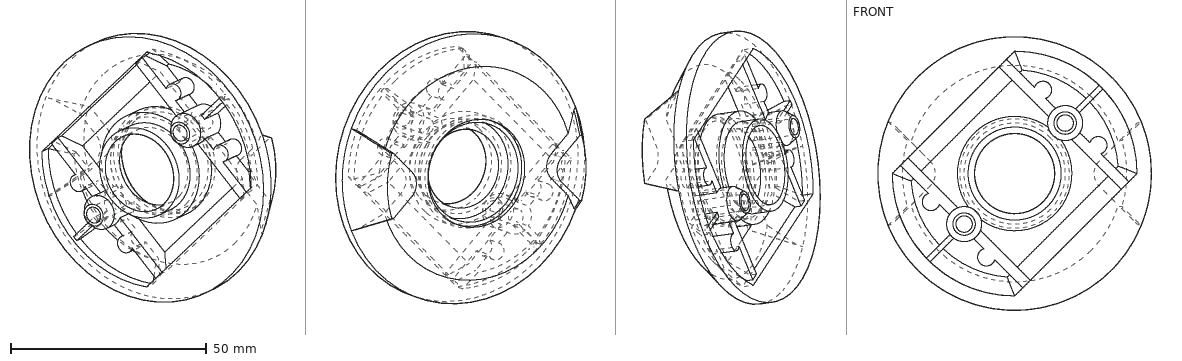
import cadquery as cq
import math


cap_radius = 35.0
rim_height = 3.7
cap_height = 10.8
crown_radius = 27.7

mouth_radius = 31.3
mouth_half_width = mouth_radius / math.sqrt(2)
wall_height = 3.15
recess_depth = 7.9
recess_draft = recess_depth - wall_height
recess_angle = 45.0

web_top = -1.3
bar_inner = 16.45
bar_outer = 19.2
bump_radius = 2.25
bump_offset = 20.2
bump_spacing = 20.0
rib_thickness = 1.3

pin_offset = 18.3
pin_radius = 4.5
pin_shoulder = 1.95
pin_tip = 4.75
pin_tip_radius = 2.9
pin_hole_radius = 2.1

hub_radius = 14.6
hub_top = -1.9
collar_radius = 11.9
collar_top = 3.5
bore_radius = 10.2
hub_wall = collar_radius - bore_radius
seat_radius = hub_radius - hub_wall
seat_shoulder = hub_top - hub_wall
seat_mouth_radius = 14.0
seat_mouth_depth = 1.7

ear_height = 16.5
ear_tip_radius = 28.7
ear_base_half_width = 13.3
ear_tip_half_width = 8.5
ear_nose_radius = 4.55
ear_nose_reach = 20.3


def cylinder(radius, bottom, top, x=0.0, y=0.0):
    return cq.Workplane("XY", origin=(x, y, bottom)).circle(radius).extrude(top - bottom)


def revolved(profile):
    """Solid of revolution about Z from (radius, height) points."""
    return cq.Workplane("XZ").polyline(profile).close().revolve(360, (0, 0, 0), (0, 1, 0))


def block(x_min, x_max, half_length, bottom, top):
    size = (x_max - x_min, 2 * half_length, top - bottom)
    return cq.Workplane("XY", origin=(x_min, -half_length, bottom)).box(*size, centered=False)


def coned_disc(base_radius, straight, top_radius, height):
    """Straight rim followed by a cone, running down from height 0."""
    return revolved([
        (0, 0),
        (base_radius, 0),
        (base_radius, -straight),
        (top_radius, -height),
        (0, -height),
    ])


def recess_space():
    """Room inside the recess before the webs are left standing."""
    disc = coned_disc(mouth_radius, wall_height, mouth_radius - recess_draft, recess_depth)
    floor_half_width = mouth_half_width - recess_draft
    channel = (
        cq.Workplane("YZ", origin=(-mouth_radius, 0, 0))
        .polyline([
            (-mouth_half_width, 0),
            (mouth_half_width, 0),
            (mouth_half_width, -wall_height),
            (floor_half_width, -recess_depth),
            (-floor_half_width, -recess_depth),
            (-mouth_half_width, -wall_height),
        ])
        .close()
        .extrude(2 * mouth_radius)
    )
    return disc.intersect(channel)


def webs():
    """Bar, two bumps and rib on the +X side of the recess."""
    side = block(bar_inner, bar_outer, mouth_half_width, -recess_depth, web_top)
    for y in (-bump_spacing / 2, bump_spacing / 2):
        side = side.union(cylinder(bump_radius, -recess_depth, web_top, bump_offset, y))
    rib = block(bar_inner, mouth_radius, rib_thickness / 2, -recess_depth, web_top)
    return side.union(rib)


def pin():
    """Pin with a tapered tip on the +X side."""
    profile = [
        (0, -recess_depth),
        (pin_radius, -recess_depth),
        (pin_radius, pin_shoulder),
        (pin_tip_radius, pin_tip),
        (0, pin_tip),
    ]
    return revolved(profile).translate((pin_offset, 0, 0))


def ear():
    """Ear on the +X side: conical outside, V-shaped inside with a rounded nose."""
    cone = coned_disc(cap_radius, rim_height, ear_tip_radius, ear_height)
    sides = (
        cq.Workplane("YZ")
        .polyline([
            (-ear_base_half_width, -rim_height),
            (ear_base_half_width, -rim_height),
            (ear_tip_half_width, -ear_height),
            (-ear_tip_half_width, -ear_height),
        ])
        .close()
        .extrude(cap_radius)
    )
    nose_centre = ear_nose_reach + ear_nose_radius
    tangent = ear_nose_radius * math.sqrt(0.5)
    tangent_x = nose_centre - tangent
    wedge = (
        cq.Workplane("XY", origin=(0, 0, -ear_height))
        .moveTo(cap_radius, tangent + cap_radius - tangent_x)
        .lineTo(tangent_x, tangent)
        .threePointArc((ear_nose_reach, 0), (tangent_x, -tangent))
        .lineTo(cap_radius, tangent_x - cap_radius - tangent)
        .close()
        .extrude(ear_height - rim_height)
    )
    return cone.intersect(sides).intersect(wedge)


def both_sides(feature, angle=0.0):
    """The feature and its opposite copy, turned about Z by the angle."""
    axis = ((0, 0, 0), (0, 0, 1))
    return feature.rotate(*axis, angle).union(feature.rotate(*axis, angle + 180))


cap = coned_disc(cap_radius, rim_height, crown_radius, cap_height)
cap = cap.union(both_sides(ear()))

recess = recess_space().rotate((0, 0, 0), (0, 0, 1), recess_angle)
cap = cap.cut(recess.cut(both_sides(webs(), recess_angle)))

hub = cylinder(hub_radius, -recess_depth, hub_top)
hub = hub.union(cylinder(collar_radius, -recess_depth, collar_top))
cap = cap.union(hub)

cap = cap.union(both_sides(pin(), recess_angle))
pin_hole = cylinder(pin_hole_radius, -recess_depth, pin_tip, pin_offset)
cap = cap.cut(both_sides(pin_hole, recess_angle))

cap = cap.cut(cylinder(bore_radius, -cap_height, collar_top))
cap = cap.cut(cylinder(seat_radius, -cap_height, seat_shoulder))
cap = cap.cut(cylinder(seat_mouth_radius, -cap_height, seat_mouth_depth - cap_height))

result = cap.rotate((0, 0, 0), (1, 0, 0), 90)